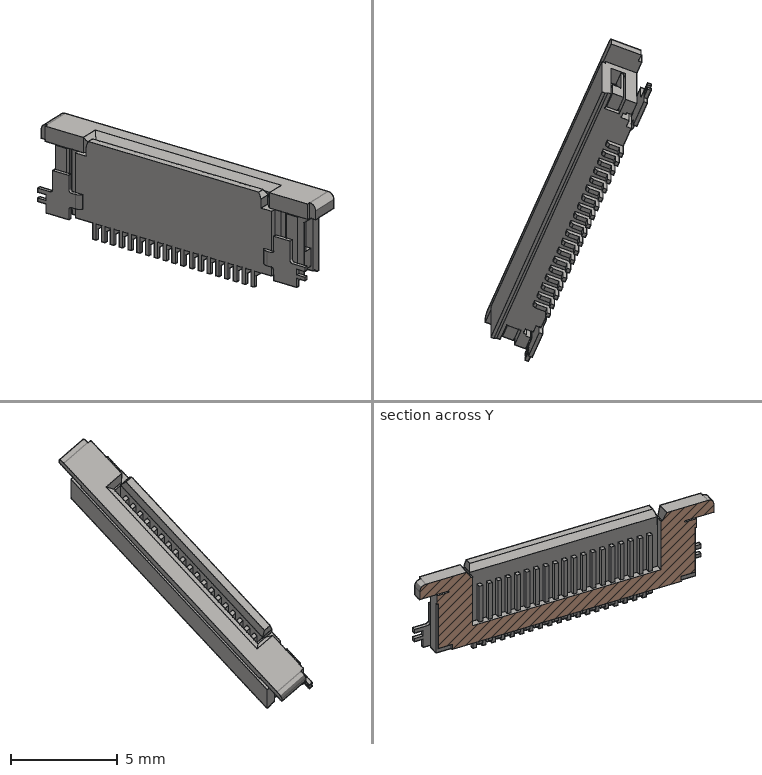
import cadquery as cq


total_length = 15.6
total_height = 5.0
housing_back = 2.01
housing_bottom = 0.85
housing_top = 4.17

contact_count = 19
contact_pitch = 0.5
contact_width = 0.2
contact_thickness = 0.19
contact_root_depth = 0.81
contact_root_bottom = 0.51
contact_root_chamfer = 0.12
blade_back = 0.81
blade_top = 3.9

housing_half_width = 6.88
core_front = 0.25
core_back = 1.83
ledge_top = 4.02
lip_bottom = 0.7
lip_flat = 0.15
lip_chamfer = 0.14
rib_half_width = 6.25
groove_inner = 5.93
groove_step = 6.16
groove_depth = 0.25
groove_full_depth = 0.4

plate_half_width = 5.58
tongue_half_width = 4.98
tongue_back = 0.6
tongue_top_back = 0.36
tongue_chamfer_width = 0.12
tongue_chamfer_depth = 0.33
slot_back = 0.95
slot_floor = 1.87

actuator_bottom = 4.21
actuator_front = 0.23
actuator_back = 1.92
end_width = 0.35
end_radius = 0.33
end_front = 0.4
opening_half_width = 5.29
opening_back = 1.22
lining_front = 0.55
lead_in_half_width = 5.05
lead_in_depth = 0.39

recess_front = 0.81
recess_back = 1.55
recess_top = 3.65
recess_depth = 0.81
insert_front = 0.89
insert_back = 1.45
insert_bottom = 1.12
insert_setback = 0.06
window_front = 1.03
window_back = 1.42
window_bottom = 2.06
window_depth = 0.9
pivot_setback = 0.56
pivot_bottom = 2.43
pivot_face_bottom = 2.64
pivot_face_top = 3.32

tab_thickness = 0.19
tab_inner = 5.82
tab_upper_outer = 6.75
tab_lower_outer = 7.13
tab_top = 3.05
tab_bottom = 0.75
shoulder_height = 1.92
finger_tip = 7.6
finger_gap_top = 1.7
finger_gap_bottom = 1.4
lower_finger_bottom = 1.22
wing_tip = 5.15
wing_tip_thickness = 0.03
wing_bend = 5.45
wing_bottom = 1.42
wing_top = 2.17
tab_corner_radius = 0.14


def block(x_range, y_range, z_range):
    """Box between the given limits."""
    (x0, x1), (y0, y1), (z0, z1) = x_range, y_range, z_range
    return cq.Workplane("XY").box(x1 - x0, y1 - y0, z1 - z0, centered=False).translate((x0, y0, z0))


def centred_block(half_width, y_range, z_range):
    """Box lying symmetrically about the mirror plane."""
    return block((-half_width, half_width), y_range, z_range)


def side_extrusion(points, half_width):
    """Extrude a (Y, Z) outline symmetrically along X."""
    return cq.Workplane("YZ").polyline(points).close().extrude(half_width, both=True)


def front_extrusion(points, y_front, y_back):
    """Extrude an (X, Z) outline from y_front to y_back."""
    sketch = cq.Workplane("XZ", origin=(0, y_front, 0)).polyline(points).close()
    return sketch.extrude(y_front - y_back)


def mirrored(shape):
    """The shape together with its copy on the other side of the mirror plane."""
    return shape.union(shape.mirror("YZ"))


def make_housing():
    lip_front = housing_back - lip_flat - lip_chamfer
    core = side_extrusion(
        [
            (core_front, housing_bottom),
            (lip_front, housing_bottom),
            (lip_front + lip_chamfer, lip_bottom),
            (housing_back, lip_bottom),
            (housing_back, ledge_top),
            (core_back, ledge_top),
            (core_back, housing_top),
            (core_front, housing_top),
        ],
        housing_half_width,
    )
    rib = centred_block(rib_half_width, (core_front, core_back), (housing_bottom, actuator_bottom))
    plate = centred_block(plate_half_width, (0, core_front), (housing_bottom, actuator_bottom))
    return core.union(rib).union(plate)


def make_corner_grooves():
    """Stepped upright grooves between the end columns and the middle of the housing."""
    heights = (housing_bottom, actuator_bottom)
    wide = block((-rib_half_width, -groove_inner), (core_front, core_front + groove_depth), heights)
    deep = block((-groove_step, -groove_inner), (core_front, core_front + groove_full_depth), heights)
    return mirrored(wide.union(deep))


def make_tongue():
    """Front wall of the cable slot, tapered at its inner edge and upper corners."""
    chamfer_start = total_height - tongue_chamfer_depth
    tongue = side_extrusion(
        [
            (0, housing_bottom),
            (tongue_back, housing_bottom),
            (tongue_back, chamfer_start),
            (tongue_top_back, total_height),
            (0, total_height),
        ],
        tongue_half_width,
    )
    corner = front_extrusion(
        [
            (-tongue_half_width, chamfer_start),
            (-tongue_half_width, total_height),
            (-tongue_half_width + tongue_chamfer_width, total_height),
        ],
        0,
        tongue_back,
    )
    return tongue.cut(mirrored(corner))


def make_actuator():
    heights = (actuator_bottom, total_height)
    half_length = total_length / 2
    bar = centred_block(half_length - end_width, (actuator_front, actuator_back), heights)
    ends = centred_block(half_length, (end_front, actuator_back), heights)
    ends = ends.edges("|Y and >Z").fillet(end_radius)
    skirt = centred_block(rib_half_width, (core_back, actuator_back), (ledge_top, actuator_bottom))
    return bar.union(ends).union(skirt)


def make_cable_opening():
    """Opening through the front of the actuator with a lead-in slope on three sides."""
    lead_in_bottom = total_height - lead_in_depth
    throat = centred_block(tongue_half_width, (0, slot_back), (actuator_bottom, total_height))
    lead_in = (
        cq.Workplane("XY", origin=(0, 0, lead_in_bottom))
        .rect(2 * lead_in_half_width, 2 * slot_back)
        .workplane(offset=lead_in_depth)
        .rect(2 * opening_half_width, 2 * opening_back)
        .loft(ruled=True)
    )
    lining_relief = (
        cq.Workplane("XY", origin=(0, 0, actuator_bottom))
        .polyline(
            [
                (-opening_half_width, 0),
                (-opening_half_width, actuator_front),
                (-tongue_half_width, lining_front),
                (tongue_half_width, lining_front),
                (opening_half_width, actuator_front),
                (opening_half_width, 0),
            ]
        )
        .close()
        .extrude(total_height - actuator_bottom)
    )
    return throat.union(lead_in).union(lining_relief)


def make_side_recess():
    """Void in the left end face, open at the bottom."""
    face = -housing_half_width
    depth_range = (face, face + recess_depth)
    insert_range = (face + insert_setback, face + recess_depth)
    recess = block(depth_range, (recess_front, recess_back), (lip_bottom, recess_top))
    insert = block(insert_range, (insert_front, insert_back), (insert_bottom, recess_top))
    opening = block(depth_range, (window_front, recess_back), (window_bottom, recess_top))
    window = block((face, face + window_depth), (window_front, insert_back), (window_bottom, recess_top))
    pivot = front_extrusion(
        [
            (face + window_depth, pivot_bottom),
            (face + pivot_setback, pivot_face_bottom),
            (face + pivot_setback, pivot_face_top),
            (face + window_depth, recess_top),
        ],
        window_front,
        window_back,
    )
    return recess.cut(insert).union(opening).union(window).cut(pivot)


def make_solder_tab():
    """Flat tab on the left with two fingers outward and a wing bent onto the front plate."""
    outline = [
        (-tab_inner, tab_bottom),
        (-tab_lower_outer, tab_bottom),
        (-tab_lower_outer, lower_finger_bottom),
        (-finger_tip, lower_finger_bottom),
        (-finger_tip, finger_gap_bottom),
        (-tab_lower_outer, finger_gap_bottom),
        (-tab_lower_outer, finger_gap_top),
        (-finger_tip, finger_gap_top),
        (-finger_tip, shoulder_height),
        (-tab_upper_outer, shoulder_height),
        (-tab_upper_outer, tab_top),
        (-tab_inner, tab_top),
        (-tab_inner, wing_top),
        (-wing_bend, wing_top),
        (-wing_bend, wing_bottom),
        (-tab_inner, wing_bottom),
    ]
    tab = front_extrusion(outline, -tab_thickness, 0)
    for x, z in [(-tab_inner, wing_top), (-tab_inner, wing_bottom), (-tab_upper_outer, shoulder_height)]:
        corner = cq.selectors.NearestToPointSelector((x, -tab_thickness / 2, z))
        tab = tab.edges(corner).fillet(tab_corner_radius)
    curl = (
        cq.Workplane("XY", origin=(0, 0, wing_bottom))
        .moveTo(-tab_inner, 0)
        .lineTo(-tab_inner, -tab_thickness)
        .lineTo(-wing_bend, -tab_thickness)
        .tangentArcPoint((-wing_tip, -wing_tip_thickness), relative=False)
        .lineTo(-wing_tip, 0)
        .close()
        .extrude(wing_top - wing_bottom)
    )
    return tab.union(curl)


def make_contact(x):
    """L-shaped solder tail under the housing and the blade inside the cable slot."""
    tail = (
        cq.Workplane("YZ", origin=(x, 0, 0))
        .polyline(
            [
                (0, 0),
                (contact_thickness, 0),
                (contact_thickness, contact_root_bottom),
                (contact_root_depth - contact_root_chamfer, contact_root_bottom),
                (contact_root_depth, contact_root_bottom + contact_root_chamfer),
                (contact_root_depth, housing_bottom),
                (0, housing_bottom),
            ]
        )
        .close()
        .extrude(contact_width / 2, both=True)
    )
    half = contact_width / 2
    blade = block((x - half, x + half), (tongue_back, blade_back), (slot_floor, blade_top))
    return tail.union(blade)


cable_slot = centred_block(tongue_half_width, (tongue_back, slot_back), (slot_floor, total_height))

result = (
    make_housing()
    .cut(make_corner_grooves())
    .union(make_actuator().cut(make_cable_opening()))
    .union(make_tongue())
    .cut(cable_slot)
    .cut(mirrored(make_side_recess()))
    .union(mirrored(make_solder_tab()))
)
for index in range(contact_count):
    offset = index - (contact_count - 1) / 2
    result = result.union(make_contact(offset * contact_pitch))